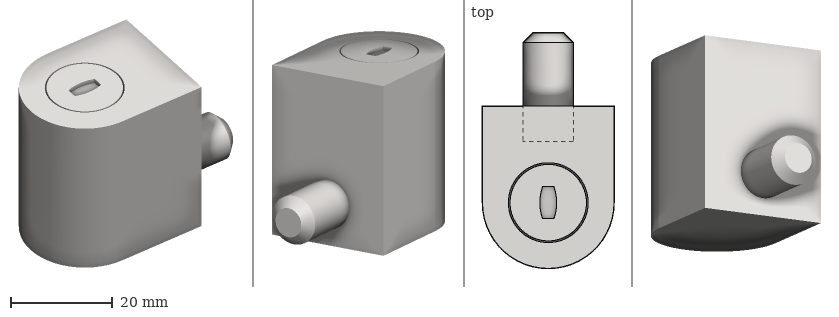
import cadquery as cq


total_length = 46.5
housing_width = 26.0
housing_length = 32.0
housing_height = 35.0

nose_radius = housing_width / 2
back_y = housing_length - nose_radius

barrel_radius = 7.55
barrel_clearance = 0.33
bore_radius = barrel_radius + barrel_clearance
barrel_depth = 18.6
barrel_bottom_z = housing_height - barrel_depth

slot_length = 6.32
slot_end_width = 2.25
slot_middle_width = 3.3
slot_depth = 1.0

bolt_diameter = 10.0
bolt_radius = bolt_diameter / 2
bolt_axis_z = 8.5
bolt_chamfer = 2.0
bolt_insertion = 6.98
bolt_length = total_length - housing_length + bolt_insertion


def cylinder_along_y(radius, start_y, length, axis_z):
    """Cylinder parallel to +Y, centred on X = 0."""
    plane = cq.Plane(origin=(0, start_y, axis_z), xDir=(1, 0, 0), normal=(0, 1, 0))
    return cq.Workplane(plane).circle(radius).extrude(length)


def cylinder_along_z(radius, bottom_z, height):
    """Cylinder on the barrel axis."""
    return cq.Workplane("XY", origin=(0, 0, bottom_z)).circle(radius).extrude(height)


def make_housing():
    body = (
        cq.Workplane("XY")
        .moveTo(-nose_radius, back_y)
        .lineTo(-nose_radius, 0)
        .threePointArc((0, -nose_radius), (nose_radius, 0))
        .lineTo(nose_radius, back_y)
        .close()
        .extrude(housing_height)
    )
    barrel_bore = cylinder_along_z(bore_radius, barrel_bottom_z, barrel_depth)
    bolt_hole = cylinder_along_y(bolt_radius, back_y - bolt_insertion, bolt_insertion, bolt_axis_z)
    return body.cut(barrel_bore).cut(bolt_hole)


def make_key_slot():
    half_length = slot_length / 2
    half_end = slot_end_width / 2
    half_middle = slot_middle_width / 2
    return (
        cq.Workplane("XY", origin=(0, 0, housing_height - slot_depth))
        .moveTo(-half_end, -half_length)
        .lineTo(half_end, -half_length)
        .threePointArc((half_middle, 0), (half_end, half_length))
        .lineTo(-half_end, half_length)
        .threePointArc((-half_middle, 0), (-half_end, -half_length))
        .close()
        .extrude(slot_depth)
    )


def make_barrel():
    """Plug resting on the floor of its bore, flush with the housing top."""
    return cylinder_along_z(barrel_radius, barrel_bottom_z, barrel_depth).cut(make_key_slot())


def make_bolt():
    """Round bolt filling its hole in the housing back, with a chamfered free end."""
    rod = cylinder_along_y(bolt_radius, back_y - bolt_insertion, bolt_length, bolt_axis_z)
    return rod.faces(">Y").chamfer(bolt_chamfer)


housing = make_housing()
barrel = make_barrel()
bolt = make_bolt()

result = cq.Compound.makeCompound([housing.val(), barrel.val(), bolt.val()])